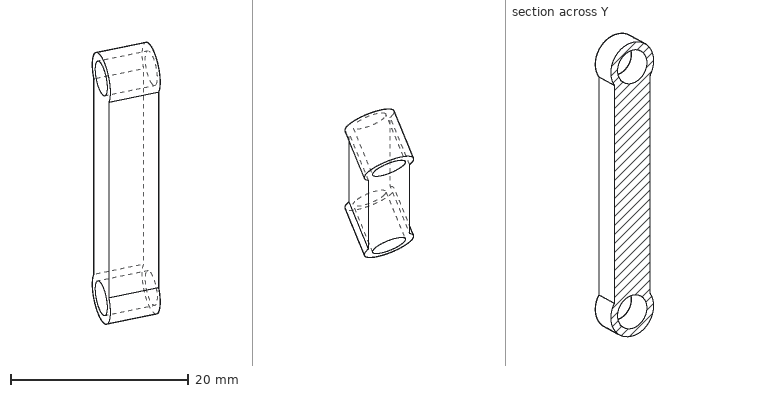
import cadquery as cq

PIN_SPACING = 30.0
EYE_DIAMETER = 6.0
BORE_DIAMETER = 4.0
BAR_WIDTH = 5.0
THICKNESS = 6.0

EYE_CENTRES = [(0, PIN_SPACING / 2), (0, -PIN_SPACING / 2)]


def cylinders(diameter):
    """Cylinders along Y on both eye axes, centred on the XZ plane."""
    return (
        cq.Workplane("XZ")
        .pushPoints(EYE_CENTRES)
        .circle(diameter / 2)
        .extrude(THICKNESS / 2, both=True)
    )


def make_link():
    """Flat bar with a bored eye at each end."""
    bar = cq.Workplane("XY").box(BAR_WIDTH, THICKNESS, PIN_SPACING)
    eyes = cylinders(EYE_DIAMETER)
    bores = cylinders(BORE_DIAMETER)
    return bar.union(eyes).cut(bores)


result = make_link()